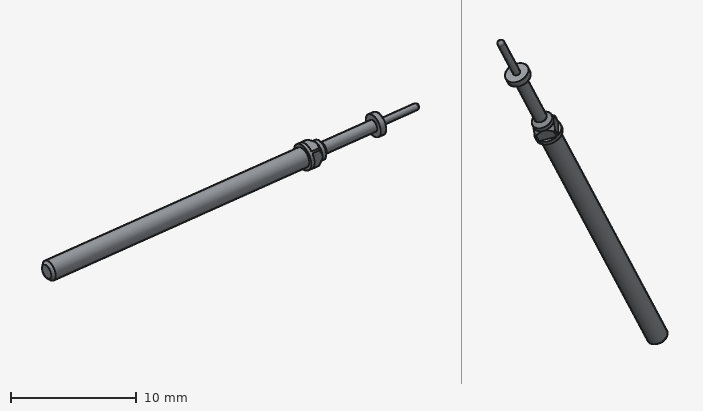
import cadquery as cq

total_length = 37

pin_radius = 0.3
pin_length = 3.92
pin_tip_round = 0.25

disc_radius = 1.0
disc_length = 0.55

rod_radius = 0.5
rod_length = 5.05

sleeve_diameter = 1.75
sleeve_radius = sleeve_diameter / 2
neck_cone_length = 0.3
neck_length = 0.37
end_chamfer = 0.25

collar_radius = 1.15
collar_length = 0.35
key_length = 1.0
key_width = sleeve_diameter
key_cone_length = 0.35

pin_base_y = total_length - pin_length
disc_back_y = pin_base_y - disc_length
rod_back_y = disc_back_y - rod_length
neck_front_y = rod_back_y - neck_cone_length
key_front_y = neck_front_y - neck_length
key_back_y = key_front_y - key_length
collar_back_y = key_back_y - collar_length


def revolve_about_y(points):
    """Revolve a closed (radius, y) outline a full turn about the Y axis."""
    outline = cq.Workplane("XY").polyline(points).close()
    return outline.revolve(360, (0, 0, 0), (0, 1, 0))


def turned_body():
    """Pin, disc, rod, neck, collar and sleeve; the key goes on later."""
    body = revolve_about_y([
        (0, 0),
        (sleeve_radius - end_chamfer, 0),
        (sleeve_radius, end_chamfer),
        (sleeve_radius, collar_back_y),
        (collar_radius, collar_back_y),
        (collar_radius, key_back_y),
        (sleeve_radius, key_back_y),
        (sleeve_radius, neck_front_y),
        (rod_radius, rod_back_y),
        (rod_radius, disc_back_y),
        (disc_radius, disc_back_y),
        (disc_radius, pin_base_y),
        (pin_radius, pin_base_y),
        (pin_radius, total_length),
        (0, total_length),
    ])
    return body.faces(">Y").edges().fillet(pin_tip_round)


def square_key():
    """Square prism trimmed by a coned cylinder, which rounds its corners."""
    key_middle_y = (key_front_y + key_back_y) / 2
    prism = cq.Workplane("XY").box(key_width, key_length, key_width)
    prism = prism.translate((0, key_middle_y, 0))
    envelope = revolve_about_y([
        (0, key_back_y),
        (collar_radius, key_back_y),
        (collar_radius, key_front_y - key_cone_length),
        (sleeve_radius, key_front_y),
        (0, key_front_y),
    ])
    return prism.intersect(envelope)


result = turned_body().union(square_key())